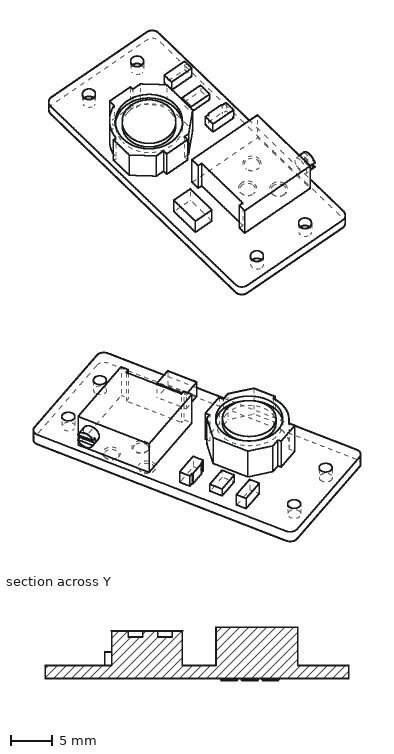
import cadquery as cq


BOARD_LENGTH = 37.0
BOARD_WIDTH = 17.17
BOARD_THICKNESS = 1.6
BOARD_CORNER_RADIUS = 1.0
HOLE_DIAMETER = 1.6
HOLE_SPACING_X = 31.8
HOLE_SPACING_Y = 7.65

INDUCTOR_HEIGHT = 4.22
INDUCTOR_LEFT = -10.7
INDUCTOR_RIGHT = -1.2
INDUCTOR_FRONT = -7.92
INDUCTOR_BACK = 2.37
BACK_LEFT_CHAMFER = (2.15, 2.37)
BACK_RIGHT_CHAMFER = (2.45, 2.7)
FRONT_RIGHT_CHAMFER = (2.22, 2.45)
ROUND_CORNER_RADIUS = 4.85
ROUND_CORNER_FRONT_X = -6.4
FRONT_STEP = 0.4
LEFT_STEP = 0.4
GROOVE_X = -5.7
GROOVE_Y = -2.85
GROOVE_OUTER_DIAMETER = 8.18
GROOVE_INNER_DIAMETER = 6.55
GROOVE_DEPTH = 0.75
TERMINAL_LENGTH = 3.33
LEFT_TERMINAL_DEPTH = 0.45
LEFT_TERMINAL_BACK = -1.22
RIGHT_TERMINAL_DEPTH = 0.6
RIGHT_TERMINAL_BACK = -1.0

TRIMMER_LEFT = 2.3
TRIMMER_FRONT = -2.75
TRIMMER_LENGTH = 10.0
TRIMMER_WIDTH = 10.45
TRIMMER_HEIGHT = 4.65
RECESS_LEFT = 3.48
RECESS_LENGTH = 7.77
RECESS_DEPTH = 0.55
SCREW_DIAMETER = 2.25
SCREW_X = 10.45
SCREW_HEIGHT = 2.75
SCREW_OVERHANG = 0.55
SLOT_WIDTH = 0.8
SLOT_DEPTH = 0.5

JOINT_HEIGHT = 0.25
JOINT_BASE_DIAMETER = 2.2
JOINT_TIP_DIAMETER = 1.9
JOINT_PITCH_X = 2.5
MIDDLE_JOINT_X = 6.45
OUTER_JOINT_Y = 5.4
MIDDLE_JOINT_Y = 2.6

RESISTOR = (-11.25, 4.25, 1.37, 3.22, 1.65)
TRANSISTOR = (-7.55, 3.95, 1.75, 2.95, 1.1)
DIODE = (4.22, -7.25, 4.1, 2.63, 2.3)
CAPACITOR_CAPS = (-3.25, 4.07, 1.45, 3.3, 1.65)
CAPACITOR_BODY = (-3.35, 4.63, 1.5, 2.15, 1.65)


def block(left, front, length, width, height):
    """Upright block standing on top of the board."""
    return (
        cq.Workplane("XY", origin=(left, front, BOARD_THICKNESS))
        .box(length, width, height, centered=False)
    )


def make_board():
    return (
        cq.Workplane("XY")
        .box(BOARD_LENGTH, BOARD_WIDTH, BOARD_THICKNESS, centered=(True, True, False))
        .edges("|Z")
        .fillet(BOARD_CORNER_RADIUS)
        .faces(">Z")
        .workplane()
        .rarray(HOLE_SPACING_X, HOLE_SPACING_Y, 2, 2)
        .hole(HOLE_DIAMETER)
    )


def make_inductor():
    left_step_y = LEFT_TERMINAL_BACK - TERMINAL_LENGTH
    body = (
        cq.Workplane("XY", origin=(0, 0, BOARD_THICKNESS))
        .moveTo(INDUCTOR_LEFT + BACK_LEFT_CHAMFER[0], INDUCTOR_BACK)
        .lineTo(INDUCTOR_RIGHT - BACK_RIGHT_CHAMFER[0], INDUCTOR_BACK)
        .lineTo(INDUCTOR_RIGHT, INDUCTOR_BACK - BACK_RIGHT_CHAMFER[1])
        .lineTo(INDUCTOR_RIGHT, INDUCTOR_FRONT + FRONT_RIGHT_CHAMFER[1])
        .lineTo(INDUCTOR_RIGHT - FRONT_RIGHT_CHAMFER[0], INDUCTOR_FRONT)
        .lineTo(ROUND_CORNER_FRONT_X, INDUCTOR_FRONT)
        .lineTo(ROUND_CORNER_FRONT_X, INDUCTOR_FRONT + FRONT_STEP)
        .radiusArc((INDUCTOR_LEFT + LEFT_STEP, left_step_y), ROUND_CORNER_RADIUS)
        .lineTo(INDUCTOR_LEFT, left_step_y)
        .lineTo(INDUCTOR_LEFT, INDUCTOR_BACK - BACK_LEFT_CHAMFER[1])
        .close()
        .extrude(INDUCTOR_HEIGHT)
    )
    groove = (
        cq.Workplane("XY", origin=(GROOVE_X, GROOVE_Y, BOARD_THICKNESS + INDUCTOR_HEIGHT))
        .circle(GROOVE_OUTER_DIAMETER / 2)
        .circle(GROOVE_INNER_DIAMETER / 2)
        .extrude(-GROOVE_DEPTH)
    )
    left_terminal = block(
        INDUCTOR_LEFT - LEFT_TERMINAL_DEPTH, left_step_y,
        LEFT_TERMINAL_DEPTH, TERMINAL_LENGTH, INDUCTOR_HEIGHT,
    )
    right_terminal = block(
        INDUCTOR_RIGHT, RIGHT_TERMINAL_BACK - TERMINAL_LENGTH,
        RIGHT_TERMINAL_DEPTH, TERMINAL_LENGTH, INDUCTOR_HEIGHT,
    )
    return body.cut(groove).union(left_terminal).union(right_terminal)


def make_trimmer():
    body = block(TRIMMER_LEFT, TRIMMER_FRONT, TRIMMER_LENGTH, TRIMMER_WIDTH, TRIMMER_HEIGHT)
    recess = block(RECESS_LEFT, TRIMMER_FRONT, RECESS_LENGTH, RECESS_DEPTH, TRIMMER_HEIGHT)

    trimmer_back = TRIMMER_FRONT + TRIMMER_WIDTH
    screw_end = BOARD_WIDTH / 2 + SCREW_OVERHANG
    screw_z = BOARD_THICKNESS + SCREW_HEIGHT
    screw = (
        cq.Workplane("XZ", origin=(SCREW_X, screw_end, screw_z))
        .circle(SCREW_DIAMETER / 2)
        .extrude(screw_end - trimmer_back)
    )
    slot = (
        cq.Workplane("XZ", origin=(SCREW_X, screw_end, screw_z))
        .rect(SCREW_DIAMETER, SLOT_WIDTH)
        .extrude(SLOT_DEPTH)
    )
    return body.cut(recess).union(screw.cut(slot))


def make_solder_joints():
    centres = [
        (MIDDLE_JOINT_X - JOINT_PITCH_X, OUTER_JOINT_Y),
        (MIDDLE_JOINT_X, MIDDLE_JOINT_Y),
        (MIDDLE_JOINT_X + JOINT_PITCH_X, OUTER_JOINT_Y),
    ]
    joint = cq.Solid.makeCone(
        JOINT_BASE_DIAMETER / 2, JOINT_TIP_DIAMETER / 2, JOINT_HEIGHT, dir=cq.Vector(0, 0, -1)
    )
    return cq.Workplane("XY").pushPoints(centres).eachpoint(joint, combine=False)


result = make_board().union(make_inductor()).union(make_trimmer()).union(make_solder_joints())
for component in (RESISTOR, TRANSISTOR, DIODE, CAPACITOR_CAPS, CAPACITOR_BODY):
    result = result.union(block(*component))